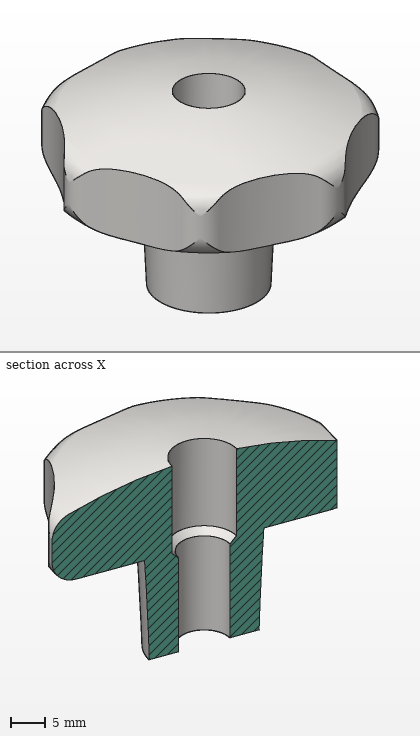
import cadquery as cq
import math

head_bottom = 17.05
overall_height = 31.8
lobe_tip_radius = 25.0
disc_radius = lobe_tip_radius
dome_edge_radius = 22.25
dome_edge_height = 28.45
lower_corner_radius = 4.0
upper_corner_height = 24.55

lobe_count = 7
lobe_round = 4.0
hollow_depth_radius = 21.8

stem_top_radius = 9.85
stem_bottom_radius = 9.05
bore_radius = 5.3
bore_depth = overall_height - head_bottom
hole_radius = 4.2
step_slope = 45


def arc_centre_height(x1, z1, x2, z2):
    """Height of the centre, on the Z axis, of the arc through two (radius, height) points."""
    return (x2**2 + z2**2 - x1**2 - z1**2) / (2 * (z2 - z1))


def make_disc():
    """Revolved head with a domed top and rounded rim."""
    centre = arc_centre_height(bore_radius, overall_height, dome_edge_radius, dome_edge_height)
    dome_radius = math.hypot(bore_radius, overall_height - centre)
    crown_height = centre + dome_radius
    middle_radius = dome_edge_radius / 2
    dome_middle = (middle_radius, centre + math.sqrt(dome_radius**2 - middle_radius**2))
    inset = disc_radius - dome_edge_radius
    rise = dome_edge_height - upper_corner_height
    rim_round = (inset**2 + rise**2) / (2 * inset)
    half_turn = math.atan2(rise, rim_round - inset) / 2
    rim_middle = (
        disc_radius - rim_round * (1 - math.cos(half_turn)),
        upper_corner_height + rim_round * math.sin(half_turn),
    )
    diagonal = lower_corner_radius * (1 - math.sqrt(0.5))
    return (
        cq.Workplane("XZ")
        .moveTo(0, head_bottom)
        .lineTo(disc_radius - lower_corner_radius, head_bottom)
        .threePointArc(
            (disc_radius - diagonal, head_bottom + diagonal),
            (disc_radius, head_bottom + lower_corner_radius),
        )
        .lineTo(disc_radius, upper_corner_height)
        .threePointArc(rim_middle, (dome_edge_radius, dome_edge_height))
        .threePointArc(dome_middle, (0, crown_height))
        .close()
        .revolve(360, (0, 0, 0), (0, 1, 0))
    )


def make_grip_prism():
    """Seven-lobed prism whose lobe tips and hollows are tangent arcs, one lobe on +Y."""
    half_pitch = math.pi / lobe_count
    tip_centre = lobe_tip_radius - lobe_round
    reach = lobe_round - hollow_depth_radius
    hollow_centre = (tip_centre**2 - reach**2) / (2 * (reach + tip_centre * math.cos(half_pitch)))
    hollow_radius = hollow_centre - hollow_depth_radius
    blend = lobe_round / (lobe_round + hollow_radius)

    def polar(radius, angle):
        return (radius * math.cos(angle), radius * math.sin(angle))

    def tangent_point(lobe_angle, side):
        tip_x, tip_y = polar(tip_centre, lobe_angle)
        hollow_x, hollow_y = polar(hollow_centre, lobe_angle + side * half_pitch)
        return (tip_x + blend * (hollow_x - tip_x), tip_y + blend * (hollow_y - tip_y))

    outline = cq.Workplane("XY").moveTo(*tangent_point(math.pi / 2, -1))
    for index in range(lobe_count):
        angle = math.pi / 2 + 2 * half_pitch * index
        outline = outline.threePointArc(polar(lobe_tip_radius, angle), tangent_point(angle, 1))
        outline = outline.threePointArc(
            polar(hollow_depth_radius, angle + half_pitch),
            tangent_point(angle + 2 * half_pitch, -1),
        )
    return outline.close().extrude(2 * overall_height)


def make_cone(bottom_radius, top_radius, height):
    """Upright truncated cone standing on the base plane."""
    return cq.Workplane(cq.Solid.makeCone(bottom_radius, top_radius, height))


def make_bore():
    """Cutter for the through hole, its conical step and the wider bore open at the top."""
    bore_floor = overall_height - bore_depth
    step_height = (bore_radius - hole_radius) * math.tan(math.radians(step_slope))
    hole = cq.Workplane("XY").circle(hole_radius).extrude(bore_floor)
    step = make_cone(hole_radius, bore_radius, step_height).translate((0, 0, bore_floor - step_height))
    wide_bore = cq.Workplane("XY").workplane(offset=bore_floor).circle(bore_radius).extrude(overall_height)
    return hole.union(step).union(wide_bore)


head = make_disc().intersect(make_grip_prism())
stem = make_cone(stem_bottom_radius, stem_top_radius, head_bottom)
bore = make_bore()
result = head.union(stem).cut(bore)